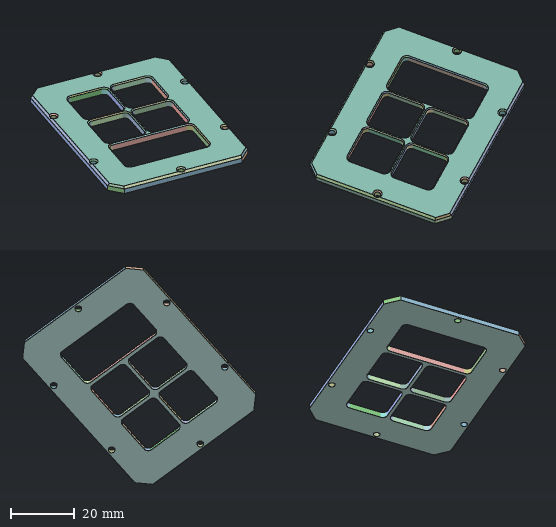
import cadquery as cq

length = 64.0
width = 49.0
thickness = 2.5
corner_cut = 4.0
edge_bevel = 0.7

window_size = 13.95
window_pitch = 15.2
window_radius = 1.6
window_bevel = 0.4
bevel_angle = 45
windows_center_x = -0.1
windows_center_y = -0.2

hole_diameter = 2.0
hole_bevel = 0.45
hole_inset = 1.6
hole_half_spacing = 14.45


def octagon(half_x, half_y, corner_x, corner_y):
    """Corner points of a rectangle whose corners are cut off."""
    return [
        (half_x, -corner_y), (half_x, corner_y),
        (corner_x, half_y), (-corner_x, half_y),
        (-half_x, corner_y), (-half_x, -corner_y),
        (-corner_x, -half_y), (corner_x, -half_y),
    ]


def make_plate():
    """Plate with cut corners; the bevel keeps the ends of the straight sides in place."""
    half_x = length / 2
    half_y = width / 2
    corner_x = half_x - corner_cut
    corner_y = half_y - corner_cut
    base_outline = octagon(half_x, half_y, corner_x, corner_y)
    top_outline = octagon(half_x - edge_bevel, half_y - edge_bevel, corner_x, corner_y)
    base_height = thickness - edge_bevel

    base = cq.Workplane("XY").polyline(base_outline).close().extrude(base_height)
    rim = (
        cq.Workplane("XY").workplane(offset=base_height)
        .polyline(base_outline).close()
        .workplane(offset=edge_bevel)
        .polyline(top_outline).close()
        .loft(ruled=True)
    )
    return base.union(rim)


def window_cutter(x, y, size_y):
    """Rounded rectangular cutter that widens at 45 degrees towards the top face."""
    outline = cq.Sketch().rect(window_size, size_y).vertices().fillet(window_radius)
    shaft = cq.Workplane("XY").placeSketch(outline).extrude(thickness)
    flare = (
        cq.Workplane("XY").workplane(offset=thickness - window_bevel)
        .placeSketch(outline).extrude(window_bevel, taper=-bevel_angle)
    )
    return shaft.union(flare).translate((x, y, 0))


def hole_cutter(x, y):
    """Round cutter with a 45 degree countersink at the top face."""
    radius = hole_diameter / 2
    profile = [
        (0, 0), (radius, 0), (radius, thickness - hole_bevel),
        (radius + hole_bevel, thickness), (0, thickness),
    ]
    return (
        cq.Workplane("XZ").polyline(profile).close()
        .revolve(360, (0, 0), (0, 1)).translate((x, y, 0))
    )


result = make_plate()

for column_x in (windows_center_x - window_pitch, windows_center_x):
    for row_side in (-1, 1):
        row_y = windows_center_y + row_side * window_pitch / 2
        result = result.cut(window_cutter(column_x, row_y, window_size))
tall_window_x = windows_center_x + window_pitch
tall_window_size = window_size + window_pitch
result = result.cut(window_cutter(tall_window_x, windows_center_y, tall_window_size))

hole_x = length / 2 - hole_inset
hole_y = width / 2 - hole_inset
for side in (-1, 1):
    result = result.cut(hole_cutter(side * hole_x, 0))
    for x in (-hole_half_spacing, hole_half_spacing):
        result = result.cut(hole_cutter(x, side * hole_y))